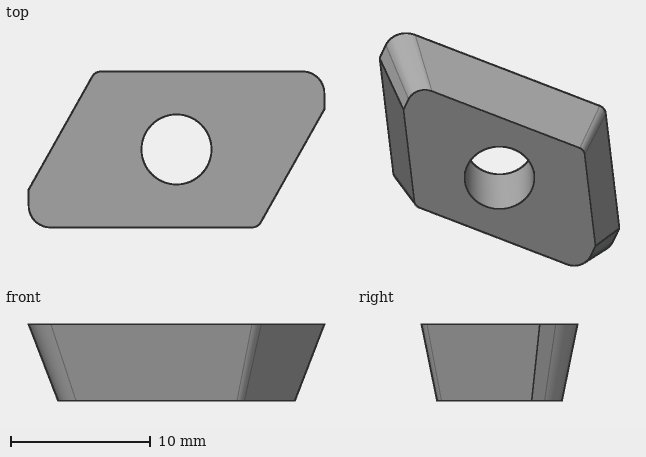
import cadquery as cq

length = 21.2
width = 11.2
thickness = 5.5
bottom_scale = 0.8
hole_diameter = 5.0

nose_radius = 1.6
blunt_radius = 0.76
facet_end = 2.88
blunt_corner_x = 5.83


def corner_pair(x, y):
    """A corner and its partner after a half turn about Z."""
    return [cq.Vector(x, y), cq.Vector(-x, -y)]


def round_corners(face, corners, radius):
    """Round the vertices of a flat face that lie at the given corners."""
    tolerance = 0.002
    vertices = [
        vertex
        for vertex in face.Vertices()
        if any((vertex.Center() - corner).Length < tolerance for corner in corners)
    ]
    return face.fillet2D(radius, vertices)


def rounded_outline():
    """Top outline at Z = 0, symmetric under a half turn about Z."""
    noses = corner_pair(-length / 2, -width / 2)
    blunts = corner_pair(blunt_corner_x, -width / 2)
    facet_ends = corner_pair(length / 2, facet_end)
    corners = [
        noses[0], blunts[0], facet_ends[0],
        noses[1], blunts[1], facet_ends[1],
    ]
    face = cq.Face.makeFromWires(cq.Wire.makePolygon(corners, close=True))
    face = round_corners(face, noses, nose_radius)
    face = round_corners(face, blunts, blunt_radius)
    return face.outerWire()


outline = rounded_outline()
bottom_wire = outline.scale(bottom_scale)
top_wire = outline.translate(cq.Vector(0, 0, thickness))
body = cq.Workplane(cq.Solid.makeLoft([bottom_wire, top_wire], True))

result = body.faces(">Z").workplane(origin=(0, 0, thickness)).hole(hole_diameter)